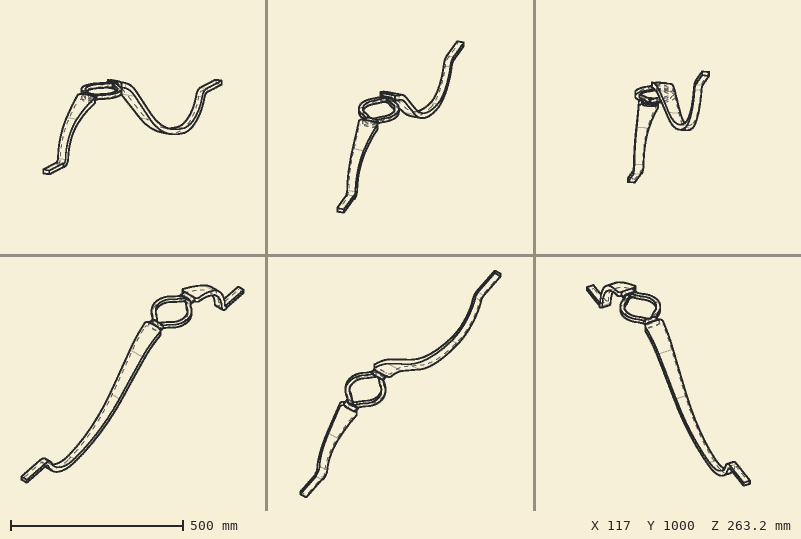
import cadquery as cq
import math

rear_end = 680.0
front_end = -320.0
rear_foot_start = 594.0
front_foot_start = -239.0

foot_width = 21.0
foot_thickness = 12.0
foot_level = -159.0

leg_thickness = 15.0
leg_head_width = 58.0
leg_corner_radius = 9.0
front_leg_foot_width = 25.0
plan_reach = 300.0

rear_leg_waist = (254.0, 36.0)
front_leg_waist = (-140.0, 42.0)

collar_near_face = 64.0
collar_far_face = 80.0
collar_width = 43.0
collar_height = 20.0

ring_diameter = 117.0
ring_bar = 12.0
ring_middle_radius = (ring_diameter - ring_bar) / 2

rear_leg_path = [(22.0, 70.8), (107.0, -77.0), (341.0, -38.8), (140.0, 0), (204.0, 27.0)]
front_leg_path = [(16.0, 87.6), (132.0, -52.1), (318.0, -18.9)]
ring_arm_path = [(ring_middle_radius, 57), (15.0, -13), (30.0, 0)]


def offset(point, heading, distance):
    """Point moved sideways, to the left of the heading."""
    angle = math.radians(heading)
    return (point[0] - distance * math.sin(angle), point[1] + distance * math.cos(angle))


def travel(point, heading, size, turn, share=1.0):
    """Point and heading after following a share of one centreline piece."""
    if turn == 0:
        return offset(point, heading - 90, size * share), heading
    radius = math.copysign(size, turn)
    centre = offset(point, heading, radius)
    heading += turn * share
    return offset(centre, heading, -radius), heading


def band(plane, point, heading, path, start_thickness, thickness):
    """Closed outline of a band along a centreline; its first piece blends the two thicknesses."""
    left = [offset(point, heading, start_thickness / 2)]
    right = [offset(point, heading, -start_thickness / 2)]
    middle_thickness = (start_thickness + thickness) / 2
    for size, turn in path:
        middle = travel(point, heading, size, turn, 0.5)
        point, heading = travel(point, heading, size, turn)
        left += [offset(*middle, middle_thickness / 2), offset(point, heading, thickness / 2)]
        right += [offset(*middle, -middle_thickness / 2), offset(point, heading, -thickness / 2)]
        middle_thickness = thickness

    def trace(outline, points, turns):
        for index, turn in enumerate(turns):
            middle, end = points[2 * index + 1:2 * index + 3]
            outline = outline.threePointArc(middle, end) if turn else outline.lineTo(*end)
        return outline

    turns = [turn for _, turn in path]
    outline = trace(cq.Workplane(plane).moveTo(*left[0]), left, turns)
    outline = outline.lineTo(*right[-1])
    return trace(outline, right[::-1], turns[::-1]).close()


def leg(side, foot_start, path, waist, foot_end_width):
    """Curved leg: a side profile trimmed to a plan that widens towards the collar.

    The path runs on into the collar, and the plan cuts it off at the far face.
    """
    heading = 90 + 90 * side
    profile = band("YZ", (foot_start, foot_level), heading, path, foot_thickness, leg_thickness)
    head = side * collar_far_face
    shoulder = side * (collar_far_face + leg_corner_radius)
    waist_y, waist_width = waist
    plan = (
        cq.Workplane("XY", origin=(0, 0, -plan_reach))
        .moveTo(0, head)
        .lineTo(leg_head_width / 2 - leg_corner_radius, head)
        .tangentArcPoint((leg_head_width / 2, shoulder), relative=False)
        .threePointArc((waist_width / 2, waist_y), (foot_end_width / 2, foot_start))
        .lineTo(0, foot_start)
        .mirrorY()
        .extrude(2 * plan_reach)
    )
    return profile.extrude(leg_head_width, both=True).intersect(plan)


def foot(start, end):
    """Flat bar between two places along Y."""
    return cq.Workplane("XY", origin=(0, (start + end) / 2, foot_level)).box(
        foot_width, abs(end - start), foot_thickness
    )


def collar(side):
    """Block with rounded sides joining the ring to a leg."""
    middle = side * (collar_near_face + collar_far_face) / 2
    depth = collar_far_face - collar_near_face
    return (
        cq.Workplane("XZ", origin=(0, middle, 0))
        .slot2D(collar_width, collar_height)
        .extrude(depth / 2, both=True)
    )


def ring():
    """Round loop whose four arms bend out into straight tips that end inside the collars."""
    arm = band("XY", (ring_middle_radius, 0), 90, ring_arm_path, ring_bar, ring_bar)
    arm = arm.extrude(ring_bar / 2, both=True)
    half = arm.union(arm.mirror("XZ"))
    return half.union(half.mirror("YZ"))


result = ring()
for piece in (
    collar(1),
    collar(-1),
    leg(1, rear_foot_start, rear_leg_path, rear_leg_waist, foot_width),
    leg(-1, front_foot_start, front_leg_path, front_leg_waist, front_leg_foot_width),
    foot(rear_foot_start, rear_end),
    foot(front_foot_start, front_end),
):
    result = result.union(piece)